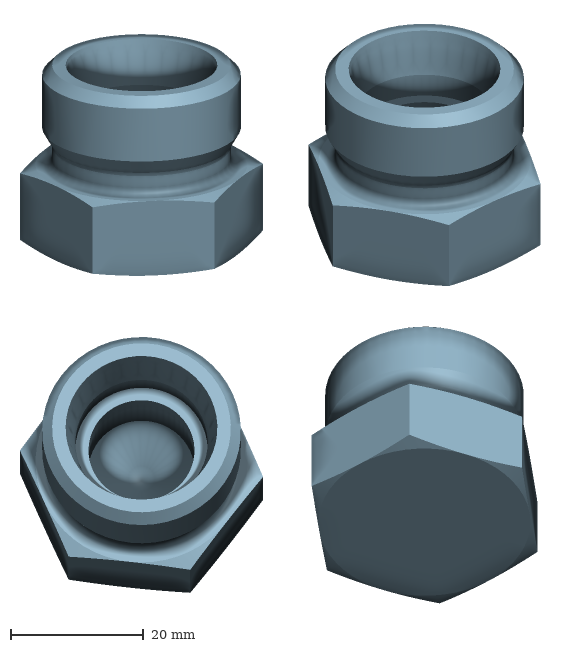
import cadquery as cq
import math

hex_corners = 36.95
hex_flats = hex_corners * math.cos(math.radians(30))
hex_height = 12.0
hex_chamfer_angle = 15

total_height = 28.0
collar_diameter = 30.0
collar_chamfer = 1.5
collar_length = 10.0
neck_diameter = 27.0
undercut_angle = 30
neck_fillet = 1.2

mouth_diameter = 22.9
seat_diameter = 20.0
seat_half_angle = 12
seat_depth = 10.5
hole_diameter = 16.0
hole_depth = 20.0
drill_half_angle = 59


def revolve_profile(points):
    """Revolve a closed (radius, height) outline about the Z axis."""
    return cq.Workplane("XZ").polyline(points).close().revolve(360, (0, 0, 0), (0, 1, 0))


def make_hexagon():
    """Hexagonal prism with conical chamfers on both ends."""
    prism = cq.Workplane("XY").polygon(6, hex_corners).extrude(hex_height)
    prism = prism.rotate((0, 0, 0), (0, 0, 1), 30)
    face_radius = hex_flats / 2
    rim_radius = hex_corners / 2 + 0.37
    rim_drop = (rim_radius - face_radius) * math.tan(math.radians(hex_chamfer_angle))
    envelope = revolve_profile([
        (0, 0),
        (face_radius, 0),
        (rim_radius, rim_drop),
        (rim_radius, hex_height - rim_drop),
        (face_radius, hex_height),
        (0, hex_height),
    ])
    return prism.intersect(envelope)


def make_collar():
    """Chamfered collar with a conical undercut down to the neck."""
    collar_radius = collar_diameter / 2
    neck_radius = neck_diameter / 2
    undercut_top = total_height - collar_length
    undercut_height = (collar_radius - neck_radius) / math.tan(math.radians(undercut_angle))
    return revolve_profile([
        (0, 0),
        (neck_radius, 0),
        (neck_radius, undercut_top - undercut_height),
        (collar_radius, undercut_top),
        (collar_radius, total_height - collar_chamfer),
        (collar_radius - collar_chamfer, total_height),
        (0, total_height),
    ])


def make_bore():
    """Tapered mouth, straight seat and blind drilled hole."""
    mouth_radius = mouth_diameter / 2
    seat_radius = seat_diameter / 2
    hole_radius = hole_diameter / 2
    taper_depth = (mouth_radius - seat_radius) / math.tan(math.radians(seat_half_angle))
    tip_depth = hole_depth + hole_radius / math.tan(math.radians(drill_half_angle))
    return revolve_profile([
        (0, total_height),
        (mouth_radius, total_height),
        (seat_radius, total_height - taper_depth),
        (seat_radius, total_height - seat_depth),
        (hole_radius, total_height - seat_depth),
        (hole_radius, total_height - hole_depth),
        (0, total_height - tip_depth),
    ])


body = make_hexagon().union(make_collar())

neck_edges = body.edges("%CIRCLE").filter(
    lambda edge: abs(edge.radius() - neck_diameter / 2) < 0.005
    and edge.Center().z < total_height - collar_length
)
body = neck_edges.fillet(neck_fillet)

result = body.cut(make_bore())